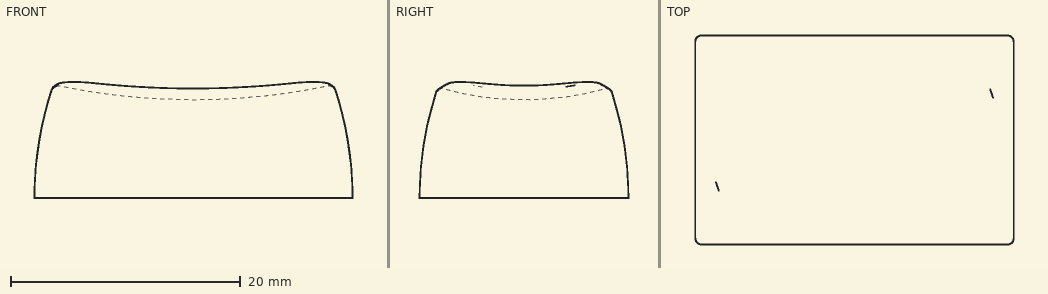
import cadquery as cq
import math

LENGTH = 27.75
WIDTH = 18.23
BASE_CORNER_RADIUS = 0.55

WALL_RADIUS = 30.25
LOFT_HEIGHT = 11.1
SECTION_COUNT = 5

RIM_HEIGHT = 10.0
LONG_SIDE_HALF_AT_RIM = 8.75
SHORT_SIDE_HALF_AT_RIM = 3.47
CORNER_GROWTH_POWER = 1.35
LONG_SIDE_BULGE = 0.7
SHORT_SIDE_BULGE = 0.22
BULGE_GROWTH_POWER = 2

DISH_BOTTOM = 8.57
DISH_RADIUS_X = 56.9
DISH_RADIUS_Y = 26.08
DISH_HALF_WIDTH = 12.5
RIM_FILLET = 0.53


def side_half(base_half, rim_half, height):
    """Half-length of a wall between its two corner seams."""
    start = base_half - BASE_CORNER_RADIUS
    growth = (height / RIM_HEIGHT) ** CORNER_GROWTH_POWER
    return start - (start - rim_half) * growth


def section(height):
    """Closed outline: four bulging sides joined by rounded corners."""
    inset = WALL_RADIUS - math.sqrt(WALL_RADIUS**2 - height**2)
    mid_x = LENGTH / 2 - inset
    mid_y = WIDTH / 2 - inset
    long_half = side_half(LENGTH / 2, LONG_SIDE_HALF_AT_RIM, height)
    short_half = side_half(WIDTH / 2, SHORT_SIDE_HALF_AT_RIM, height)
    growth = (height / RIM_HEIGHT) ** BULGE_GROWTH_POWER
    long_bulge = LONG_SIDE_BULGE * growth
    short_bulge = SHORT_SIDE_BULGE * growth

    end_x, end_y = mid_x - short_bulge, short_half
    side_x, side_y = long_half, mid_y - long_bulge
    turn = math.pi / 2 - 2 * math.atan(long_bulge / long_half) - 2 * math.atan(short_bulge / short_half)
    rise = math.tan(turn / 4) / 2
    corner_x = (end_x + side_x) / 2 + rise * (side_y - end_y)
    corner_y = (end_y + side_y) / 2 + rise * (end_x - side_x)

    outline = cq.Workplane("XY", origin=(0, 0, height)).moveTo(end_x, -end_y)

    def side(middle, end):
        if height == 0:
            return outline.lineTo(*end)
        return outline.threePointArc(middle, end)

    outline = side((mid_x, 0), (end_x, end_y))
    outline = outline.threePointArc((corner_x, corner_y), (side_x, side_y))
    outline = side((0, mid_y), (-side_x, side_y))
    outline = outline.threePointArc((-corner_x, corner_y), (-end_x, end_y))
    outline = side((-mid_x, 0), (-end_x, -end_y))
    outline = outline.threePointArc((-corner_x, -corner_y), (-side_x, -side_y))
    outline = side((0, -mid_y), (side_x, -side_y))
    outline = outline.threePointArc((corner_x, -corner_y), (end_x, -end_y))
    return outline.wire().val()


def body():
    step = LOFT_HEIGHT / (SECTION_COUNT - 1)
    wires = [section(i * step) for i in range(SECTION_COUNT)]
    return cq.Workplane(cq.Solid.makeLoft(wires))


def dish():
    """Cutter: an arc across Y, revolved about a high axis parallel to Y."""
    axis_height = DISH_BOTTOM + DISH_RADIUS_X
    edge_rise = DISH_RADIUS_Y - math.sqrt(DISH_RADIUS_Y**2 - DISH_HALF_WIDTH**2)
    edge_height = DISH_BOTTOM + edge_rise
    return (
        cq.Workplane("YZ")
        .moveTo(-DISH_HALF_WIDTH, axis_height)
        .lineTo(-DISH_HALF_WIDTH, edge_height)
        .threePointArc((0, DISH_BOTTOM), (DISH_HALF_WIDTH, edge_height))
        .lineTo(DISH_HALF_WIDTH, axis_height)
        .close()
        .revolve(360, (0, axis_height), (1, axis_height))
    )


result = body().cut(dish())
result = result.faces(cq.selectors.NearestToPointSelector((0, 0, DISH_BOTTOM))).edges().fillet(RIM_FILLET)